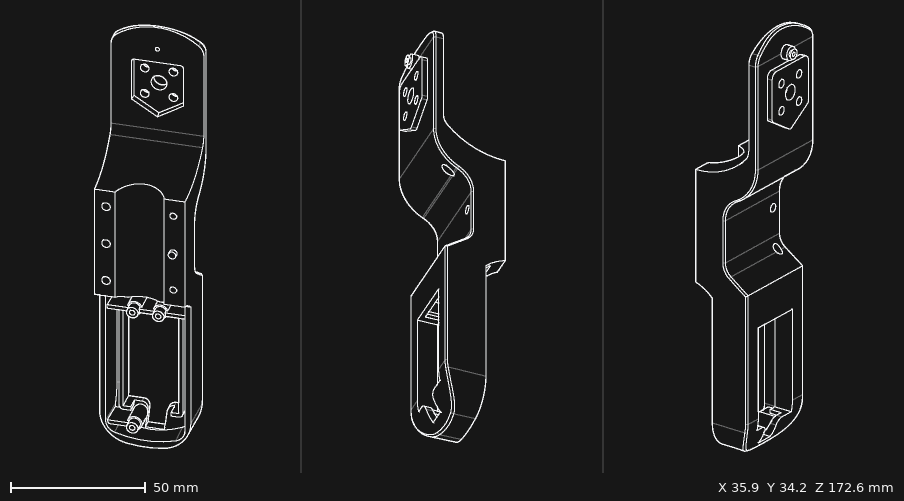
import cadquery as cq
import math


def sagitta(radius, half_chord):
    """Height of a circular arc above its chord."""
    return radius - math.sqrt(radius**2 - half_chord**2)



width = 35.9
half_width = width / 2
height = 172.6
top_radius = 25.9
top_corner_radius = 5.2
bottom_radius = 43.2
bottom_corner_radius = 13.0
side_draft = 1.0

plate_back = 28.7
plate_front = 24.9
neck_back = 13.5
shell_back = 24.0
shell_front = 7.8

shoulder_top = 114.1
shoulder_arc_radius = 32.0
shoulder_blend_radius = 5.9
shoulder_bend_z = 107.4
shoulder_bend_y = 22.1
shoulder_slope = 28.0
shoulder_bend_radius = 17.3
neck_bend_radius = 10.4
shell_top = 68.9
notch_slope = 35.0
notch_radius = 6.0
pad_bottom = 68.4
shell_rim_top = 63.9
ramp_mid = (4.3, 66.5)
end_radius = 22.3
end_start_z = 16.5
top_bend_height = 9.3
rear_bevel = 0.7

cavity_half_width = 15.5
cavity_top = 66.1
cavity_bottom = 2.8
cavity_arch_radius = 40.5
cavity_corner_radius = 5.2
cavity_draft = 2.0
floor_thickness = 2.0
floor_bend_z = 18.0
floor_y = shell_back - floor_thickness

window_half_width = 10.7
window_top = 53.5
window_bottom = 11.7
rim_width = 1.5
rim_front = 15.9
rim_gap = 15.5
slot_center_x = 1.4
slot_width = 7.3
slot_bottom = 3.8
slot_corner_radius = 2.6

boss_diameter = 5.7
boss_shoulder = 11.2
boss_tip_diameter = 4.5
boss_hole_diameter = 2.0
boss_hole_depth = 8.6
boss_x = 5.0
upper_boss_z = 57.8
lower_boss_z = 7.8
rib_thickness = 1.5
rib_front = 9.7

channel_radius = 9.8
channel_depth = 7.0
pad_hole_x = 13.0
pad_hole_z = 91.2
pad_hole_pitch = 16.0
through_hole_diameter = 3.3
blind_hole_diameter = 2.6
blind_hole_depth = 6.9
pin_diameter = 3.0
pin_length = 1.7

seat_half_width = 10.0
seat_top = 157.5
seat_shoulder = 140.0
seat_tip = 133.8
seat_depth = 2.2
seat_wall = 1.4
seat_corner_radius = 1.2
seat_draft = 10.0
bore_z = 147.3
bore_diameter = 6.0
seat_hole_offset = 5.5

knob_z = 163.2
knob_radius = 2.8
knob_shoulder = 31.2
knob_end = 32.5
knob_neck_radius = 1.2
knob_lip_radius = 2.0
knob_bore_diameter = 1.5

bottom_back = shell_back - sagitta(end_radius, end_start_z)
top_back = plate_back - sagitta(end_radius, top_bend_height)


def facing_front(y):
    """Workplane at depth y: local axes are X and Z, extrusion goes toward -Y."""
    return cq.Workplane("XZ", origin=(0, y, 0))


def box(x0, x1, y0, y1, z0, z1):
    """Box between two limits along each axis."""
    return cq.Workplane("XY").box(x1 - x0, y1 - y0, z1 - z0, centered=False).translate((x0, y0, z0))


def rod(x, z, diameter, y_back, y_front):
    """Round bar along Y."""
    return facing_front(y_back).center(x, z).circle(diameter / 2).extrude(y_back - y_front)


def arched_outline(half_w, bottom, bottom_r, bottom_corner_r, top, top_r, top_corner_r):
    """Closed XZ outline with straight sides, arched ends and rounded corners."""
    top_corner = top - sagitta(top_r, half_w)
    bottom_corner = bottom + sagitta(bottom_r, half_w)
    return (
        cq.Sketch()
        .arc((-half_w, bottom_corner), (0, bottom), (half_w, bottom_corner))
        .segment((half_w, top_corner))
        .arc((half_w, top_corner), (0, top), (-half_w, top_corner))
        .segment((-half_w, top_corner), (-half_w, bottom_corner))
        .assemble()
        .vertices(">Y")
        .fillet(top_corner_r)
        .reset()
        .vertices("<Y")
        .fillet(bottom_corner_r)
    )


def side_profile():
    """Outer shape seen along X, running down the front and back up the rear."""
    arc_mid_y = plate_front / 2
    shoulder_mid_z = shoulder_top + sagitta(shoulder_arc_radius, arc_mid_y)
    shoulder_join_z = shoulder_top + sagitta(shoulder_arc_radius, plate_front)

    end_mid_z = end_start_z / 2
    end_mid_y = shell_back - sagitta(end_radius, end_mid_z)
    top_start_z = height - top_bend_height
    top_mid_y = plate_back - sagitta(end_radius, top_bend_height / 2)

    slope = math.tan(math.radians(shoulder_slope))
    plate_corner_z = shoulder_bend_z + slope * (plate_back - shoulder_bend_y)
    neck_corner_z = shoulder_bend_z - slope * (shoulder_bend_y - neck_back)
    notch_corner_z = shell_top + math.tan(math.radians(notch_slope)) * (shell_back - neck_back)

    profile = (
        cq.Workplane("YZ", origin=(-width, 0, 0))
        .moveTo(top_back, height)
        .lineTo(plate_front, height)
        .lineTo(plate_front, shoulder_join_z)
        .threePointArc((arc_mid_y, shoulder_mid_z), (0, shoulder_top))
        .lineTo(0, pad_bottom)
        .threePointArc(ramp_mid, (shell_front, shell_rim_top))
        .lineTo(shell_front, 0)
        .lineTo(bottom_back, 0)
        .threePointArc((end_mid_y, end_start_z - end_mid_z), (shell_back, end_start_z))
        .lineTo(shell_back, shell_top)
        .lineTo(neck_back, notch_corner_z)
        .lineTo(neck_back, neck_corner_z)
        .lineTo(plate_back, plate_corner_z)
        .lineTo(plate_back, top_start_z)
        .threePointArc((top_mid_y, top_start_z + top_bend_height / 2), (top_back, height))
        .close()
        .extrude(2 * width)
    )
    bends = (
        (plate_front, shoulder_join_z, shoulder_blend_radius),
        (plate_back, plate_corner_z, shoulder_bend_radius),
        (neck_back, neck_corner_z, neck_bend_radius),
        (neck_back, notch_corner_z, notch_radius),
    )
    for y, z, radius in bends:
        profile = profile.edges(cq.NearestToPointSelector((0, y, z))).fillet(radius)
    return profile


def outer_body():
    """Drafted outline trimmed to the side profile, with the rim of its rear face bevelled."""
    slope = math.tan(math.radians(side_draft))
    outline_bottom = -slope * (plate_back - bottom_back)
    outline_top = height + slope * (plate_back - top_back)
    outline = arched_outline(
        half_width,
        outline_bottom,
        bottom_radius,
        bottom_corner_radius,
        outline_top,
        top_radius,
        top_corner_radius,
    )
    blank = facing_front(plate_back).placeSketch(outline).extrude(plate_back, taper=side_draft)
    body = blank.intersect(side_profile())

    rear_faces = [face for face in body.faces().vals() if face.normalAt().y > 0]
    rear_edges = [edge for face in rear_faces for edge in face.Edges()]
    rim = [edge for edge in rear_edges if sum(edge.isSame(other) for other in rear_edges) == 1]
    return body.newObject(rim).chamfer(rear_bevel)


def behind_floor():
    """Everything behind the shell floor, which curves forward at its lower end."""
    floor_radius = end_radius - floor_thickness
    low_y = floor_y - sagitta(floor_radius, floor_bend_z)
    mid_z = floor_bend_z / 2
    mid_y = floor_y - sagitta(floor_radius, floor_bend_z - mid_z)
    return (
        cq.Workplane("YZ", origin=(-width, 0, 0))
        .moveTo(floor_y, cavity_top)
        .lineTo(floor_y, floor_bend_z)
        .threePointArc((mid_y, mid_z), (low_y, 0))
        .lineTo(plate_back, 0)
        .lineTo(plate_back, cavity_top)
        .close()
        .extrude(2 * width)
    )


def cavity():
    """Drafted hollow of the lower shell, open at the front."""
    corner_z = cavity_bottom + sagitta(cavity_arch_radius, cavity_half_width)
    outline = (
        cq.Sketch()
        .arc((-cavity_half_width, corner_z), (0, cavity_bottom), (cavity_half_width, corner_z))
        .segment((cavity_half_width, cavity_top))
        .segment((-cavity_half_width, cavity_top))
        .close()
        .assemble()
        .vertices("<Y")
        .fillet(cavity_corner_radius)
    )
    pocket = cq.Workplane("XZ").placeSketch(outline).extrude(-floor_y, taper=cavity_draft)
    return pocket.cut(behind_floor())


def window():
    """Rectangular opening with the slot that runs from its lower side to the end wall."""
    opening = box(-window_half_width, window_half_width, shell_front, plate_back, window_bottom, window_top)
    slot_left = slot_center_x - slot_width / 2
    slot_right = slot_center_x + slot_width / 2
    opening = opening.union(box(slot_left, slot_right, shell_front, plate_back, slot_bottom, window_top))
    for x in (slot_left, slot_right):
        corner = cq.NearestToPointSelector((x, (shell_front + plate_back) / 2, window_bottom))
        opening = opening.edges(corner).fillet(slot_corner_radius)
    return opening


def window_rim():
    """Raised frame around the window, open in the middle of its two short sides."""
    half_w = window_half_width + rim_width
    frame = box(-half_w, half_w, rim_front, plate_back, window_bottom - rim_width, window_top + rim_width)
    frame = frame.edges("|Y").fillet(rim_width)
    gap = box(-rim_gap / 2, rim_gap / 2, 0, 2 * plate_back, 0, height)
    return frame.cut(gap).cut(window())


def bosses_and_ribs():
    """One rib spans the cavity with two bosses; a short rib holds the single lower boss."""
    half_rib = rib_thickness / 2
    upper_span = (upper_boss_z - half_rib, upper_boss_z + half_rib)
    lower_span = (lower_boss_z - half_rib, lower_boss_z + half_rib)
    upper_rib = box(-half_width, half_width, rib_front, plate_back, *upper_span)
    lower_rib = box(-half_width, -boss_x, rib_front, plate_back, *lower_span)
    supports = upper_rib.union(lower_rib)
    positions = ((-boss_x, upper_boss_z), (boss_x, upper_boss_z), (-boss_x, lower_boss_z))
    for x, z in positions:
        supports = supports.union(rod(x, z, boss_diameter, plate_back, boss_shoulder))
        supports = supports.union(rod(x, z, boss_tip_diameter, plate_back, shell_front))
    for x, z in positions:
        supports = supports.cut(rod(x, z, boss_hole_diameter, shell_front + boss_hole_depth, shell_front))
    return supports


def channel():
    """Half-round groove between the pads, open at both ends."""
    return (
        cq.Workplane("XY", origin=(0, channel_depth - channel_radius, shell_rim_top))
        .circle(channel_radius)
        .extrude(height - shell_rim_top)
    )


def seat_outline(grow):
    """Five-sided XZ outline, grown on every side, with its two upper corners rounded."""
    outline = cq.Sketch().polygon(
        [
            (-seat_half_width, seat_top),
            (seat_half_width, seat_top),
            (seat_half_width, seat_shoulder),
            (0, seat_tip),
            (-seat_half_width, seat_shoulder),
            (-seat_half_width, seat_top),
        ]
    )
    outline = outline.vertices(">Y").fillet(seat_corner_radius).reset()
    return outline.wires().offset(grow).reset() if grow else outline


def seat_raised_back():
    """Raised area behind the seat, larger than the recess by the wall all round."""
    return facing_front(plate_back + seat_depth).placeSketch(seat_outline(seat_wall)).extrude(seat_depth)


def seat_recess():
    """Drafted pocket sunk into the front of the plate."""
    return facing_front(plate_front).placeSketch(seat_outline(0)).extrude(-seat_depth, taper=seat_draft)


def seat_holes():
    """Central bore with four screw holes on a square around it."""
    back = plate_back + seat_depth
    holes = rod(0, bore_z, bore_diameter, back, plate_front)
    for dx in (-seat_hole_offset, seat_hole_offset):
        for dz in (-seat_hole_offset, seat_hole_offset):
            holes = holes.union(rod(dx, bore_z + dz, through_hole_diameter, back, plate_front))
    return holes


def knob():
    """Round knob with a flared lip, turned about an axis along Y."""
    return (
        cq.Workplane("XY", origin=(0, 0, knob_z))
        .moveTo(0, plate_front)
        .lineTo(knob_radius, plate_front)
        .lineTo(knob_radius, knob_shoulder)
        .lineTo(knob_neck_radius, knob_shoulder)
        .lineTo(knob_lip_radius, knob_end)
        .lineTo(0, knob_end)
        .close()
        .revolve(360, (0, 0, 0), (0, 1, 0))
    )


def pad_holes():
    """Three through holes in the left pad; two blind holes in the right one, either side of the pin."""
    holes = cq.Workplane("XY")
    for step in (-1, 0, 1):
        z = pad_hole_z + step * pad_hole_pitch
        holes = holes.union(rod(-pad_hole_x, z, through_hole_diameter, plate_back, 0))
        if step != 0:
            holes = holes.union(rod(pad_hole_x, z, blind_hole_diameter, blind_hole_depth, 0))
    return holes


inner_parts = window_rim().union(bosses_and_ribs()).intersect(cavity())
pad_pin = rod(pad_hole_x, pad_hole_z, pin_diameter, blind_hole_depth, -pin_length)
knob_bore = rod(0, knob_z, knob_bore_diameter, knob_end, plate_front)

result = (
    outer_body()
    .cut(cavity())
    .cut(window())
    .union(inner_parts)
    .cut(channel())
    .cut(pad_holes())
    .union(pad_pin)
    .union(seat_raised_back())
    .cut(seat_recess())
    .cut(seat_holes())
    .union(knob())
    .cut(knob_bore)
)